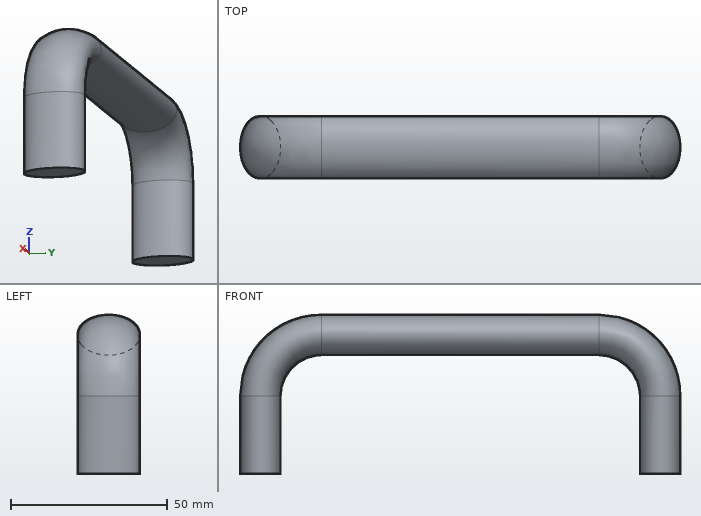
import cadquery as cq

length = 141.0
height = 51.0

section_width = 20.0
section_thickness = 13.0

outer_bend_radius = 26.0
bend_radius = outer_bend_radius - section_thickness / 2
leg_x = (length - section_thickness) / 2
leg_top = height - outer_bend_radius
grip_z = height - section_thickness / 2
grip_end_x = leg_x - bend_radius


def centre_line():
    """Path from the foot of the left leg, over the grip, to the foot of the right leg."""
    return (
        cq.Workplane("XZ")
        .moveTo(-leg_x, 0)
        .lineTo(-leg_x, leg_top)
        .radiusArc((-grip_end_x, grip_z), bend_radius)
        .lineTo(grip_end_x, grip_z)
        .radiusArc((leg_x, leg_top), bend_radius)
        .lineTo(leg_x, 0)
    )


def bar_section():
    """Ellipse lying on the foot of the left leg."""
    return cq.Workplane("XY").center(-leg_x, 0).ellipse(section_thickness / 2, section_width / 2)


result = bar_section().sweep(centre_line())